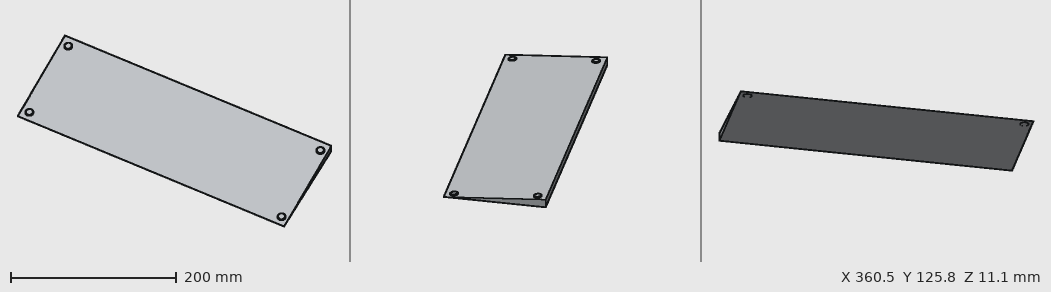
import cadquery as cq
import math

length = 360.5
width = 125.8
back_height = 10.8

foot_diameter = 10.0
foot_height = 1.0
foot_bevel_angle = 45.0
foot_spacing_x = 341.0
foot_spacing_y = 103.0

foot_centre_x = 0.7
foot_centre_y = -0.5

slope_angle = math.degrees(math.atan2(back_height, width))


def make_wedge():
    """Triangular section in the YZ plane, extruded along X."""
    profile = [(-width / 2, 0), (width / 2, 0), (width / 2, back_height)]
    return cq.Workplane("YZ").polyline(profile).close().extrude(length / 2, both=True)


def make_foot(x, y):
    """Truncated cone standing square to the sloping face."""
    surface_z = back_height * (y + width / 2) / width
    foot = (
        cq.Workplane("XY")
        .circle(foot_diameter / 2)
        .extrude(foot_height, taper=foot_bevel_angle)
    )
    return foot.rotate((0, 0, 0), (1, 0, 0), slope_angle).translate((x, y, surface_z))


result = make_wedge()
for x_side in (-1, 1):
    for y_side in (-1, 1):
        foot_x = foot_centre_x + x_side * foot_spacing_x / 2
        foot_y = foot_centre_y + y_side * foot_spacing_y / 2
        result = result.union(make_foot(foot_x, foot_y))